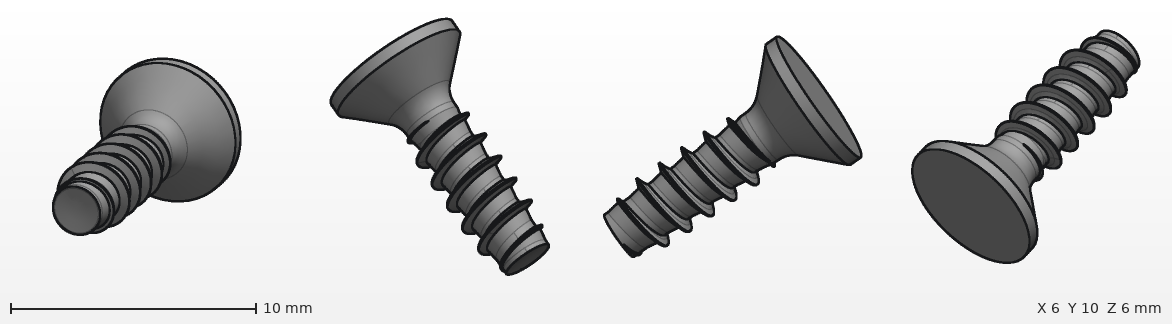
import cadquery as cq
import math


length = 10.0
head_radius = 3.0
rim_height = 0.54
cone_half_angle = 45.0
neck_radius = 1.17
neck_fillet = 1.15
neck_end = 3.12
neck_taper_length = 0.47

tip_dish_radius = 0.97
tip_dish_depth = 0.08

pitch = 1.12
core_radius = 1.05
crest_radius = 1.5
crest_half_width = 0.03
flank_angle = 20.0
toe_radius = 1.25
toe_foot_radius = 1.02
toe_length = 0.265
heel_radius = 1.155
land_overrun = 0.12
land_length = 0.68
buried_radius = 0.45
reference_depth = 2.425

thread_start = 2.95
start_crest_radius = 1.0
lead_in_end = 3.265
lead_in_crest_radius = 1.34
full_height_start = 4.1
full_height_end = 8.42
thread_end = 9.98
end_crest_radius = 1.04
land_start = 2.7
land_fade_start = 9.1
land_fade_end = 9.9
land_fade_drop = 0.13
sections_per_turn = 20

start_rim_radius = 1.13
start_rim_shift = 0.17
start_rim_thickness = 0.03


def ramp(value, low, high):
    """Rise from 0 at `low` to 1 at `high`, and stay constant outside."""
    return min(max((value - low) / (high - low), 0.0), 1.0)


def make_blank():
    """Head, neck fillet, neck, taper and solid core as one revolved body."""
    cone_angle = math.radians(cone_half_angle)
    fillet_start_radius = neck_radius + neck_fillet * (1 - math.cos(cone_angle))
    fillet_start = rim_height + (head_radius - fillet_start_radius) / math.tan(cone_angle)
    fillet_end = fillet_start + neck_fillet * math.sin(cone_angle)
    fillet_middle = (
        neck_radius + neck_fillet * (1 - math.cos(cone_angle / 2)),
        fillet_end - neck_fillet * math.sin(cone_angle / 2),
    )
    return (
        cq.Workplane("YZ")
        .lineTo(head_radius, 0)
        .lineTo(head_radius, rim_height)
        .lineTo(fillet_start_radius, fillet_start)
        .threePointArc(fillet_middle, (neck_radius, fillet_end))
        .lineTo(neck_radius, neck_end)
        .lineTo(core_radius, neck_end + neck_taper_length)
        .lineTo(core_radius, length)
        .lineTo(0, length)
        .close()
        .revolve(360, (0, 0), (0, 1))
    )


def helical_loft(section, first_depth, last_depth):
    """Loft `section(depth)`, a wire in the radial plane at angle 0, along the thread helix."""
    steps = math.ceil((last_depth - first_depth) / pitch * sections_per_turn)
    wires = []
    for step in range(steps + 1):
        depth = first_depth + (last_depth - first_depth) * step / steps
        angle = 360.0 * (depth - reference_depth) / pitch
        wires.append(section(depth).rotate(cq.Vector(0, 0, 0), cq.Vector(0, 0, 1), angle))
    return cq.Workplane(cq.Solid.makeLoft(wires))


def ridge_section(depth):
    """Thread ridge; the run-outs sink it radially into the core."""
    sink = (lead_in_crest_radius - start_crest_radius) * (1 - ramp(depth, thread_start, lead_in_end))
    sink += (crest_radius - lead_in_crest_radius) * (1 - ramp(depth, lead_in_end, full_height_start))
    sink += (crest_radius - end_crest_radius) * ramp(depth, full_height_end, thread_end)
    slope = math.tan(math.radians(flank_angle))
    crest = crest_radius - sink
    toe = crest_half_width + (crest_radius - toe_radius) * slope
    heel = crest_half_width + (crest - buried_radius) * slope
    return (
        cq.Workplane("XZ")
        .moveTo(buried_radius, depth + heel)
        .lineTo(crest, depth + crest_half_width)
        .lineTo(crest, depth - crest_half_width)
        .lineTo(toe_radius - sink, depth - toe)
        .tangentArcPoint((toe_foot_radius - sink, depth - toe_length), relative=False)
        .lineTo(buried_radius, depth - toe_length)
        .close()
        .val()
    )


def land_section(depth):
    """Land that slopes from behind the crest down to the core; it fades out at the tip."""
    land_slope = (heel_radius - core_radius) / (land_length - crest_half_width)
    sink = land_fade_drop * ramp(depth, land_fade_start, land_fade_end)
    return (
        cq.Workplane("XZ")
        .moveTo(buried_radius, depth + crest_half_width)
        .lineTo(heel_radius - sink, depth + crest_half_width)
        .lineTo(core_radius - land_overrun * land_slope - sink, depth + land_length + land_overrun)
        .lineTo(buried_radius, depth + land_length + land_overrun)
        .close()
        .val()
    )


def make_start_rim():
    """Thin disc at the end of the neck that stands out only on the -X side."""
    return (
        cq.Workplane("XY", origin=(-start_rim_shift, 0, neck_end))
        .circle(start_rim_radius)
        .extrude(start_rim_thickness)
    )


def make_tip_cutter():
    """Everything beyond the tip face, with a shallow spherical bulge that dishes the tip."""
    dish_sphere_radius = (tip_dish_radius**2 + tip_dish_depth**2) / (2 * tip_dish_depth)
    sphere_depth = length - tip_dish_depth + dish_sphere_radius
    half_angle = math.asin(tip_dish_radius / dish_sphere_radius) / 2
    arc_middle = (
        dish_sphere_radius * math.sin(half_angle),
        sphere_depth - dish_sphere_radius * math.cos(half_angle),
    )
    return (
        cq.Workplane("YZ")
        .moveTo(0, length - tip_dish_depth)
        .threePointArc(arc_middle, (tip_dish_radius, length))
        .lineTo(head_radius, length)
        .lineTo(head_radius, length + pitch)
        .lineTo(0, length + pitch)
        .close()
        .revolve(360, (0, 0), (0, 1))
    )


land = helical_loft(land_section, land_start, land_fade_end)
screw = make_blank().union(land)

ridge_limits = [thread_start, full_height_start, full_height_end, thread_end]
for piece_start, piece_end in zip(ridge_limits, ridge_limits[1:]):
    screw = screw.union(helical_loft(ridge_section, piece_start, piece_end))
screw = screw.cut(make_tip_cutter(), clean=False).union(make_start_rim(), clean=False)

result = screw.rotate((0, 0, 0), (1, 0, 0), 90)